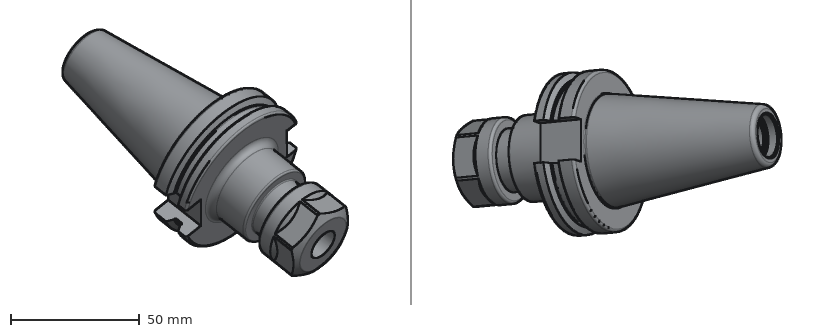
import cadquery as cq
import math

total_length = 131.8
root_round = 0.4

gauge_diameter = 44.4
gauge_x = 68.1
taper_ratio = 7 / 24
small_end_round = 2.0

flange_diameter = 63.5
flange_x = 69.2
flange_end_x = 87.1
flange_rear_round = 1.2
flange_front_round = 0.9
groove_root_diameter = 56.3
groove_center_x = 79.3
groove_root_width = 3.5
groove_mouth_width = 6.7
groove_flank_slope = 60.0

slot_width = 16.7
slot_floor_front = 22.5
slot_floor_back = 24.8

collar_diameter = 34.0
collar_root_round = 3.0
collar_end_x = 105.4
collar_end_round = 0.8
neck_diameter = 25.0

through_diameter = 12.8
through_mouth_diameter = 13.5
counterbore_diameter = 16.7
counterbore_mouth_diameter = 17.9
counterbore_depth = 4.3
thread_diameter = 15.7
thread_end_x = 5.3

nut_diameter = collar_diameter
nut_x = 112.9
nut_rear_round = 1.2
nut_hex_x = 119.6
nut_shoulder_chamfer = 2.0
nut_across_flats = 30.0
nut_face_diameter = 25.5
nut_face_round = 0.4
nut_face_angle = 30.0
nut_recess_depth = 11.9

nose_end_x = nut_x + nut_recess_depth


def cylinder(diameter, start_x, end_x):
    """Solid cylinder on the X axis between two stations."""
    return cq.Workplane("YZ").workplane(offset=start_x).circle(diameter / 2).extrude(end_x - start_x)


def revolve_about_x(outline):
    """Turn a closed outline, drawn as X and radius, about the X axis."""
    return outline.close().revolve(360, (0, 0, 0), (1, 0, 0))


def make_root_round(diameter, shoulder_x, direction, size=root_round):
    """Ring with a concave face that blends a cylinder into a shoulder.

    The direction is +1 or -1, the way along X from the shoulder to the open cylinder.
    """
    radius = diameter / 2
    arc_middle = size * (1 - math.sqrt(0.5))
    return revolve_about_x(
        cq.Workplane("XY")
        .moveTo(shoulder_x, radius - size)
        .lineTo(shoulder_x, radius + size)
        .threePointArc(
            (shoulder_x + direction * arc_middle, radius + arc_middle),
            (shoulder_x + direction * size, radius),
        )
        .lineTo(shoulder_x + direction * size, radius - size)
    )


def make_shank():
    """Steep taper with a rounded small end and a short cylinder at the gauge line."""
    gauge_radius = gauge_diameter / 2
    small_radius = gauge_radius - gauge_x * taper_ratio / 2
    shank = revolve_about_x(
        cq.Workplane("XY")
        .lineTo(0, small_radius)
        .lineTo(gauge_x, gauge_radius)
        .lineTo(flange_x, gauge_radius)
        .lineTo(flange_x, 0)
    )
    shank = shank.faces("<X").edges().fillet(small_end_round)
    return shank.union(make_root_round(gauge_diameter, flange_x, -1))


def make_groove():
    """Ring that cuts the V groove: sloping flanks, short square walls and a rounded root."""
    outer_radius = flange_diameter / 2
    half_root = groove_root_width / 2
    half_mouth = groove_mouth_width / 2
    flank_depth = (half_mouth - half_root) * math.tan(math.radians(groove_flank_slope))
    mouth = revolve_about_x(
        cq.Workplane("XY")
        .moveTo(groove_center_x - half_mouth, outer_radius)
        .lineTo(groove_center_x - half_root, outer_radius - flank_depth)
        .lineTo(groove_center_x + half_root, outer_radius - flank_depth)
        .lineTo(groove_center_x + half_mouth, outer_radius)
    )
    root_start_x = groove_center_x - half_root
    root_end_x = groove_center_x + half_root
    root = cylinder(flange_diameter, root_start_x, root_end_x)
    core = cylinder(groove_root_diameter, root_start_x, root_end_x)
    for shoulder_x, direction in ((root_start_x, 1), (root_end_x, -1)):
        core = core.union(make_root_round(groove_root_diameter, shoulder_x, direction))
    return mouth.union(root).cut(core)


def make_drive_slot(side, floor):
    """Block that cuts one drive slot; side is +1 or -1 along Y."""
    depth = flange_diameter / 2 - floor
    width_x = flange_end_x - flange_x
    center_y = side * (floor + depth / 2)
    center_x = flange_x + width_x / 2
    return cq.Workplane("XY").box(width_x, depth, slot_width).translate((center_x, center_y, 0))


def make_flange():
    """Flange disc with rounded rims, gripper groove and two unequal drive slots."""
    flange = cylinder(flange_diameter, flange_x, flange_end_x)
    flange = flange.faces("<X").edges().fillet(flange_rear_round)
    flange = flange.faces(">X").edges().fillet(flange_front_round)
    flange = flange.cut(make_groove())
    for side, floor in ((-1, slot_floor_front), (1, slot_floor_back)):
        flange = flange.cut(make_drive_slot(side, floor))
    return flange


def make_collar():
    """Collar with a concave root against the flange and a rounded end."""
    collar = cylinder(collar_diameter, flange_end_x, collar_end_x)
    collar = collar.faces(">X").edges().fillet(collar_end_round)
    return collar.union(make_root_round(collar_diameter, flange_end_x, 1, collar_root_round))


def make_neck():
    """Neck and nose of one diameter, with a small round against the collar."""
    neck = cylinder(neck_diameter, collar_end_x, nose_end_x)
    return neck.union(make_root_round(neck_diameter, collar_end_x, 1))


def make_holder_bore():
    """Stepped bore: chamfered counterbore, thread section and through hole."""
    mouth_chamfer = (counterbore_mouth_diameter - counterbore_diameter) / 2
    thread_chamfer = (counterbore_diameter - thread_diameter) / 2
    through_chamfer = (through_mouth_diameter - through_diameter) / 2
    return revolve_about_x(
        cq.Workplane("XY")
        .lineTo(0, counterbore_mouth_diameter / 2)
        .lineTo(mouth_chamfer, counterbore_diameter / 2)
        .lineTo(counterbore_depth, counterbore_diameter / 2)
        .lineTo(counterbore_depth + thread_chamfer, thread_diameter / 2)
        .lineTo(thread_end_x, thread_diameter / 2)
        .lineTo(thread_end_x, through_mouth_diameter / 2)
        .lineTo(thread_end_x + through_chamfer, through_diameter / 2)
        .lineTo(nose_end_x, through_diameter / 2)
        .lineTo(nose_end_x, 0)
    )


def make_holder():
    """Tool holder: shank, flange, collar and nose in one bored solid."""
    holder = make_shank().union(make_flange()).union(make_collar()).union(make_neck())
    return holder.cut(make_holder_bore())


def make_nut():
    """Clamping nut: round rear, chamfered shoulder and hexagonal front with a coned face."""
    radius = nut_diameter / 2
    face_radius = nut_face_diameter / 2
    face_cone_length = (radius - face_radius) * math.tan(math.radians(nut_face_angle))

    rear = cylinder(nut_diameter, nut_x, nut_hex_x + nut_shoulder_chamfer)
    rear = rear.faces("<X").edges().fillet(nut_rear_round)
    rear = rear.faces(">X").edges().chamfer(nut_shoulder_chamfer)

    front = revolve_about_x(
        cq.Workplane("XY")
        .moveTo(nut_hex_x, 0)
        .lineTo(nut_hex_x, radius)
        .lineTo(total_length - face_cone_length, radius)
        .lineTo(total_length, face_radius)
        .lineTo(total_length, 0)
    )
    front = front.faces(">X").edges().fillet(nut_face_round)
    across_corners = nut_across_flats / math.cos(math.pi / 6)
    hexagon = (
        cq.Workplane("YZ")
        .workplane(offset=nut_hex_x)
        .transformed(rotate=(0, 0, 90))
        .polygon(6, across_corners)
        .extrude(total_length - nut_hex_x)
    )
    nut = rear.union(front.intersect(hexagon))
    nut = nut.cut(cylinder(neck_diameter, nut_x, nose_end_x))
    return nut.cut(cylinder(through_diameter, nose_end_x, total_length))


holder = make_holder()
nut = make_nut()
result = cq.Compound.makeCompound([holder.val(), nut.val()])